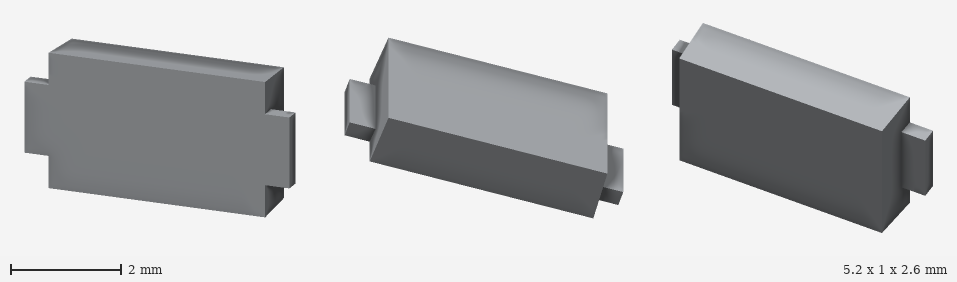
import cadquery as cq
import math

overall_length = 5.2
body_length = 4.25
body_height = 2.6
body_depth = 1.0
draft_angle = 2.5

terminal_length = 0.98
terminal_height = 1.36
terminal_depth = 0.3

mark_width = 0.24
mark_depth = 0.06
mark_center_x = -1.665


def make_envelope():
    """Drafted block, widest at the mounting face and narrowing toward +Y."""
    inset = body_depth * math.tan(math.radians(draft_angle))
    return (
        cq.Workplane("XZ")
        .rect(body_length, body_height)
        .workplane(offset=-body_depth)
        .rect(body_length - 2 * inset, body_height - 2 * inset)
        .loft(ruled=True)
    )


def make_terminal(side):
    """Flat terminal at one end, flush with the mounting face; side is -1 or +1."""
    center_x = side * (overall_length - terminal_length) / 2
    return (
        cq.Workplane("XY")
        .box(terminal_length, terminal_depth, terminal_height)
        .translate((center_x, terminal_depth / 2, 0))
    )


def make_polarity_mark(envelope):
    """Inlaid strip across the +Y face, trimmed to the drafted side walls."""
    strip = (
        cq.Workplane("XY")
        .box(mark_width, mark_depth, body_height)
        .translate((mark_center_x, body_depth - mark_depth / 2, 0))
    )
    return envelope.intersect(strip)


def make_housing(envelope, inserts):
    """Drafted block with a matching recess for each inserted body."""
    housing = envelope
    for insert in inserts:
        housing = housing.cut(insert)
    return housing


envelope = make_envelope()
terminals = [make_terminal(side) for side in (-1, 1)]
polarity_mark = make_polarity_mark(envelope)
housing = make_housing(envelope, [*terminals, polarity_mark])

result = cq.Compound.makeCompound(
    [housing.val(), *[terminal.val() for terminal in terminals], polarity_mark.val()]
)